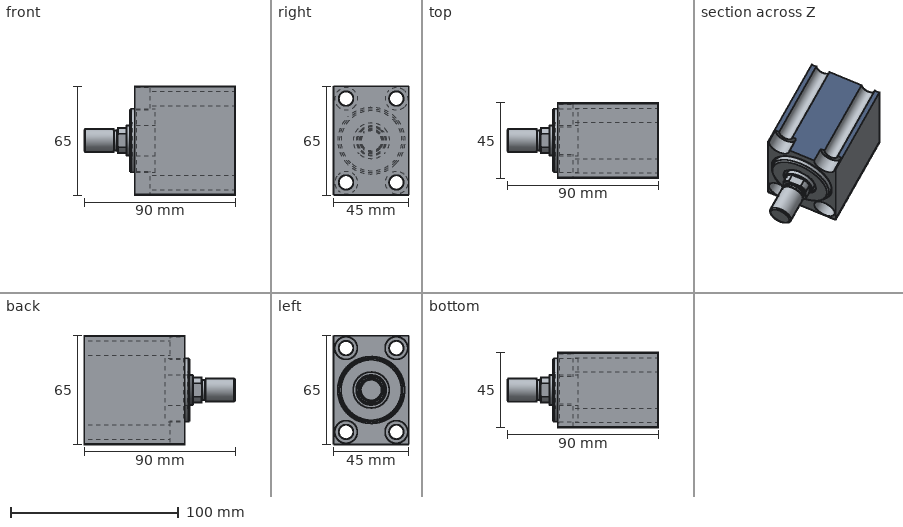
import cadquery as cq


housing_length = 60.0
housing_width = 45.0
housing_height = 65.0
edge_chamfer = 0.5

hole_spacing_y = 30.0
hole_spacing_z = 50.0
hole_diameter = 8.5
counterbore_diameter = 13.5
counterbore_depth = 9.0

bore_diameter = 38.0
bore_depth = 12.0
bore_mouth_chamfer = 1.0

gland_protrusion = 3.0
gland_chamfer = 1.0
rod_recess_diameter = 21.5
rod_recess_depth = 1.5

rod_tip = -30.0
rod_diameter = 18.0
rod_shoulder = -5.0
rod_chamfer = 0.5

flats_start = -10.0
flats_across = 15.0
flats_body_diameter = rod_diameter - 2 * rod_chamfer
flats_body_chamfer = 0.3

thread_diameter = 14.0
thread_end = -12.5
tip_chamfer_length = 0.75
tip_diameter = 12.3
groove_diameter = 12.0
groove_chamfer = 0.5


def cylinder(diameter, start, end):
    """Cylinder on the X axis between two X positions."""
    return cq.Workplane("YZ").workplane(offset=start).circle(diameter / 2).extrude(end - start)


def revolve_about_x(profile):
    """Solid of revolution from a closed (x, radius) profile."""
    return cq.Workplane("XY").polyline(profile).close().revolve(360, (0, 0), (1, 0))


def corner_holes(diameter, depth):
    """Four cylinders at the mounting positions, running back from the front face."""
    return (
        cq.Workplane("YZ")
        .rect(hole_spacing_y, hole_spacing_z, forConstruction=True)
        .vertices()
        .circle(diameter / 2)
        .extrude(depth)
    )


def make_housing():
    block = (
        cq.Workplane("XY")
        .box(housing_length, housing_width, housing_height, centered=(False, True, True))
        .edges("|X")
        .chamfer(edge_chamfer)
    )
    bore_radius = bore_diameter / 2
    chamfered_bore = revolve_about_x([
        (0, 0),
        (0, bore_radius + bore_mouth_chamfer),
        (bore_mouth_chamfer, bore_radius),
        (bore_depth, bore_radius),
        (bore_depth, 0),
    ])
    through_holes = corner_holes(hole_diameter, housing_length)
    counterbores = corner_holes(counterbore_diameter, counterbore_depth)
    return block.cut(chamfered_bore).cut(through_holes).cut(counterbores)


def make_gland():
    front = -gland_protrusion
    body = cylinder(bore_diameter, front, bore_depth).faces("<X").chamfer(gland_chamfer)
    recess = cylinder(rod_recess_diameter, front, front + rod_recess_depth)
    rod_hole = cylinder(rod_diameter, front, bore_depth)
    return body.cut(recess).cut(rod_hole)


def make_rod():
    rod_radius = rod_diameter / 2
    flats_body_radius = flats_body_diameter / 2
    thread_radius = thread_diameter / 2
    groove_radius = groove_diameter / 2
    turned = revolve_about_x([
        (rod_tip, 0),
        (rod_tip, tip_diameter / 2),
        (rod_tip + tip_chamfer_length, thread_radius),
        (thread_end, thread_radius),
        (thread_end, groove_radius + groove_chamfer),
        (thread_end + groove_chamfer, groove_radius),
        (flats_start - groove_chamfer, groove_radius),
        (flats_start, groove_radius + groove_chamfer),
        (flats_start, flats_body_radius - flats_body_chamfer),
        (flats_start + flats_body_chamfer, flats_body_radius),
        (rod_shoulder, flats_body_radius),
        (rod_shoulder + rod_chamfer, rod_radius),
        (bore_depth, rod_radius),
        (bore_depth, 0),
    ])
    square = (
        cq.Workplane("YZ")
        .workplane(offset=flats_start)
        .rect(flats_across, flats_across)
        .extrude(rod_shoulder - flats_start)
    )
    outside_flats = cylinder(rod_diameter, flats_start, rod_shoulder).cut(square)
    return turned.cut(outside_flats)


housing = make_housing()
gland = make_gland()
rod = make_rod()

result = cq.Compound.makeCompound([housing.val(), gland.val(), rod.val()])